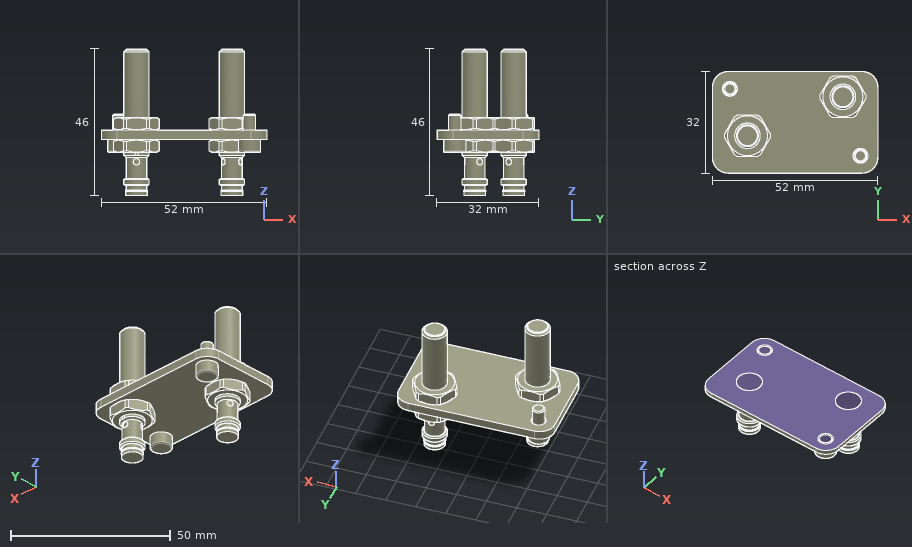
import cadquery as cq
import math

PLATE_LENGTH = 52.0
PLATE_WIDTH = 32.0
PLATE_THICKNESS = 3.0
PLATE_CORNER_RADIUS = 5.0

SENSOR_X = 15.0
LEFT_SENSOR_Y = -4.2
RIGHT_SENSOR_Y = 8.0
KEYWAY_FRONT = -90.0
KEYWAY_BACK = 90.0
SENSORS = [(-SENSOR_X, LEFT_SENSOR_Y, KEYWAY_FRONT), (SENSOR_X, RIGHT_SENSOR_Y, KEYWAY_BACK)]
SENSOR_BOTTOM = -17.5
SENSOR_LENGTH = 45.95
SENSOR_TOP = SENSOR_BOTTOM + SENSOR_LENGTH
BARREL_RADIUS = 4.0
BODY_RADIUS = 3.3
SENSING_CAP_RADIUS = 3.3
SENSING_CAP_HEIGHT = 0.3
SENSING_CAP_CHAMFER = 0.15
BARREL_TOP_CHAMFER = 0.55

CONNECTOR_RADIUS = 3.45
CONNECTOR_LIP_RADIUS = 3.5
CONNECTOR_LIP_BOTTOM = 1.25
CONNECTOR_LIP_CHAMFER = 0.1
CONNECTOR_HEIGHT = 1.7
COLLAR_BOTTOM = 3.1
COLLAR_TOP = 5.4
COLLAR_CHAMFER_HEIGHT = 0.4
COLLAR_CHAMFER_DEPTH = 0.5
BODY_TOP = 11.9

WINDOW_COUNT = 3
WINDOW_DIAMETER = 2.05
WINDOW_HEIGHT = 10.6
WINDOW_DEPTH = 0.1

KEYWAY_WIDTH = 1.0
KEYWAY_DEPTH = 0.13

NUT_FLATS = 13.0
NUT_HEIGHT = 4.0
NUT_CORNER_DIAMETER = 14.4
NUT_FACE_DIAMETER = 12.55
NUT_CHAMFER_ANGLE = 30.0

SCREW_X = 20.5
SCREW_Y = 10.5
SCREW_POSITIONS = [(-SCREW_X, SCREW_Y), (SCREW_X, -SCREW_Y)]
SCREW_RADIUS = 2.0
SCREW_REACH = 8.0
SCREW_TIP_CHAMFER = 0.35
SCREW_HOLE_DIAMETER = 4.7
HEAD_DIAMETER = 7.0
HEAD_HEIGHT = 4.0
HEAD_EDGE_RADIUS = 0.4


def revolve_profile(points):
    """Turn a closed (radius, height) outline around the Z axis."""
    return cq.Workplane("XZ").polyline(points).close().revolve(360, (0, 0, 0), (0, 1, 0))


def make_cylinder(radius, height):
    """Cylinder on the Z axis, from z = 0 up, or down if the height is negative."""
    return cq.Workplane("XY").circle(radius).extrude(height)


def make_plate():
    plate = cq.Workplane("XY").box(PLATE_LENGTH, PLATE_WIDTH, PLATE_THICKNESS, centered=(True, True, False))
    plate = plate.edges("|Z").fillet(PLATE_CORNER_RADIUS)
    for x, y, _ in SENSORS:
        plate = plate.cut(make_cylinder(BARREL_RADIUS, PLATE_THICKNESS).translate((x, y, 0)))
    for x, y in SCREW_POSITIONS:
        plate = plate.cut(make_cylinder(SCREW_HOLE_DIAMETER / 2, PLATE_THICKNESS).translate((x, y, 0)))
    return plate


def make_sensor_blank():
    """Turned shape of the sensor, standing on the Z axis."""
    barrel_bottom = SENSOR_BOTTOM + BODY_TOP
    lip_bottom = SENSOR_BOTTOM + CONNECTOR_LIP_BOTTOM
    connector_top = SENSOR_BOTTOM + CONNECTOR_HEIGHT
    collar_bottom = SENSOR_BOTTOM + COLLAR_BOTTOM
    collar_top = SENSOR_BOTTOM + COLLAR_TOP
    collar_rim_radius = BARREL_RADIUS - COLLAR_CHAMFER_DEPTH
    barrel_top = SENSOR_TOP - SENSING_CAP_HEIGHT
    return revolve_profile([
        (0, SENSOR_BOTTOM),
        (CONNECTOR_RADIUS, SENSOR_BOTTOM),
        (CONNECTOR_RADIUS, lip_bottom),
        (CONNECTOR_LIP_RADIUS, lip_bottom),
        (CONNECTOR_LIP_RADIUS, connector_top - CONNECTOR_LIP_CHAMFER),
        (CONNECTOR_LIP_RADIUS - CONNECTOR_LIP_CHAMFER, connector_top),
        (BODY_RADIUS, connector_top),
        (BODY_RADIUS, collar_bottom),
        (collar_rim_radius, collar_bottom),
        (BARREL_RADIUS, collar_bottom + COLLAR_CHAMFER_HEIGHT),
        (BARREL_RADIUS, collar_top - COLLAR_CHAMFER_HEIGHT),
        (collar_rim_radius, collar_top),
        (BODY_RADIUS, collar_top),
        (BODY_RADIUS, barrel_bottom),
        (BARREL_RADIUS, barrel_bottom + BARREL_RADIUS - BODY_RADIUS),
        (BARREL_RADIUS, barrel_top - BARREL_TOP_CHAMFER),
        (BARREL_RADIUS - BARREL_TOP_CHAMFER, barrel_top),
        (SENSING_CAP_RADIUS, barrel_top),
        (SENSING_CAP_RADIUS, SENSOR_TOP - SENSING_CAP_CHAMFER),
        (SENSING_CAP_RADIUS - SENSING_CAP_CHAMFER, SENSOR_TOP),
        (0, SENSOR_TOP),
    ])


def cut_windows(sensor):
    """Sink round windows with floors concentric to the body, the first one on the +X side."""
    floor = make_cylinder(BODY_RADIUS - WINDOW_DEPTH, BODY_TOP).translate((0, 0, SENSOR_BOTTOM))
    for index in range(WINDOW_COUNT):
        window = (
            cq.Workplane("YZ", origin=(0, 0, SENSOR_BOTTOM + WINDOW_HEIGHT))
            .circle(WINDOW_DIAMETER / 2)
            .extrude(BARREL_RADIUS)
            .cut(floor)
        )
        sensor = sensor.cut(window.rotate((0, 0, 0), (0, 0, 1), index * 360 / WINDOW_COUNT))
    return sensor


def cut_keyway(sensor):
    """Cut the keyway on the +X side, from below the lower nut to the end of the barrel."""
    barrel_bottom = SENSOR_BOTTOM + BODY_TOP
    keyway = cq.Workplane("XY", origin=(BARREL_RADIUS - KEYWAY_DEPTH, 0, barrel_bottom)).box(
        2 * KEYWAY_DEPTH, KEYWAY_WIDTH, -NUT_HEIGHT - barrel_bottom, centered=(False, True, False)
    )
    return sensor.cut(keyway)


def make_sensor(x, y, heading):
    sensor = cut_keyway(cut_windows(make_sensor_blank()))
    return sensor.rotate((0, 0, 0), (0, 0, 1), heading).translate((x, y, 0))


def make_nut(x, y, bottom):
    hexagon = cq.Workplane("XY").polygon(6, NUT_FLATS / math.cos(math.pi / 6)).extrude(NUT_HEIGHT)
    corner_radius = NUT_CORNER_DIAMETER / 2
    face_radius = NUT_FACE_DIAMETER / 2
    chamfer_height = (corner_radius - face_radius) * math.tan(math.radians(NUT_CHAMFER_ANGLE))
    envelope = revolve_profile([
        (0, 0),
        (face_radius, 0),
        (corner_radius, chamfer_height),
        (corner_radius, NUT_HEIGHT - chamfer_height),
        (face_radius, NUT_HEIGHT),
        (0, NUT_HEIGHT),
    ])
    bore = make_cylinder(BARREL_RADIUS, NUT_HEIGHT)
    return hexagon.intersect(envelope).cut(bore).translate((x, y, bottom))


def make_screw(x, y):
    head = make_cylinder(HEAD_DIAMETER / 2, -HEAD_HEIGHT).faces("<Z").edges().fillet(HEAD_EDGE_RADIUS)
    shank = make_cylinder(SCREW_RADIUS, SCREW_REACH).faces(">Z").chamfer(SCREW_TIP_CHAMFER)
    return head.union(shank).translate((x, y, 0))


plate = make_plate()
sensors = [make_sensor(x, y, heading) for x, y, heading in SENSORS]
nuts = [make_nut(x, y, bottom) for x, y, _ in SENSORS for bottom in (-NUT_HEIGHT, PLATE_THICKNESS)]
screws = [make_screw(x, y) for x, y in SCREW_POSITIONS]

result = cq.Compound.makeCompound([body.val() for body in [plate, *sensors, *nuts, *screws]])